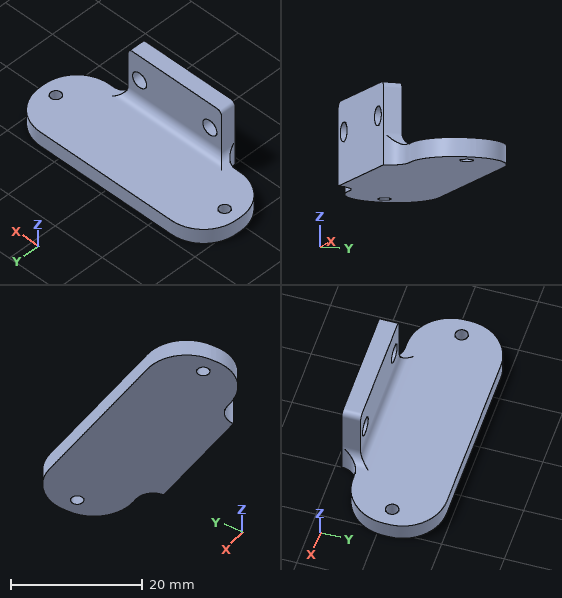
import cadquery as cq

plate_length = 42.0
plate_width = 15.0
plate_thickness = 3.0
plate_corner_radius = 7.0
plate_hole_diameter = 2.0
plate_hole_spacing = 36.0

tab_width = 20.0
tab_thickness = 3.02
tab_height = 13.0
tab_corner_radius = 1.0
tab_hole_diameter = 3.0
tab_hole_spacing = 15.0
tab_hole_height = 8.0

root_radius = 2.0
neck_radius = tab_thickness

tab_back = -plate_width / 2
tab_front = tab_back - tab_thickness
half_tab = tab_width / 2
root_top = plate_thickness + root_radius


def make_plate():
    plate = cq.Workplane("XY").rect(plate_length, plate_width).extrude(plate_thickness)
    return plate.edges("|Z").fillet(plate_corner_radius)


def make_neck(height):
    """Plan area that flares from the tab front into the plate edge."""
    half_neck = half_tab + neck_radius
    inner_edge = tab_back + root_radius
    return (
        cq.Workplane("XY")
        .moveTo(-half_tab, tab_front)
        .lineTo(half_tab, tab_front)
        .radiusArc((half_neck, tab_back), neck_radius)
        .lineTo(half_neck, inner_edge)
        .lineTo(-half_neck, inner_edge)
        .lineTo(-half_neck, tab_back)
        .radiusArc((-half_tab, tab_front), neck_radius)
        .close()
        .extrude(height)
    )


def make_tab():
    tab = (
        cq.Workplane("XY")
        .box(tab_width, tab_thickness, tab_height, centered=(True, False, False))
        .translate((0, tab_front, 0))
    )
    return tab.edges("|Y and >Z").fillet(tab_corner_radius)


def make_root():
    """Flare around the tab foot; crossing two profiles mitres its back corners."""
    half_root = half_tab + root_radius
    side_profile = (
        cq.Workplane("XZ")
        .moveTo(-half_root, 0)
        .lineTo(half_root, 0)
        .lineTo(half_root, plate_thickness)
        .radiusArc((half_tab, root_top), root_radius)
        .lineTo(-half_tab, root_top)
        .radiusArc((-half_root, plate_thickness), root_radius)
        .close()
        .extrude(plate_width, both=True)
    )
    back_profile = (
        cq.Workplane("YZ")
        .moveTo(tab_front, 0)
        .lineTo(tab_back + root_radius, 0)
        .lineTo(tab_back + root_radius, plate_thickness)
        .radiusArc((tab_back, root_top), root_radius)
        .lineTo(tab_front, root_top)
        .close()
        .extrude(plate_length / 2, both=True)
    )
    return side_profile.intersect(back_profile).intersect(make_neck(root_top))


def make_plate_holes():
    return (
        cq.Workplane("XY")
        .rarray(plate_hole_spacing, 0.4, 2, 1)
        .circle(plate_hole_diameter / 2)
        .extrude(plate_thickness)
    )


def make_tab_holes():
    return (
        cq.Workplane("XZ", origin=(0, tab_back, tab_hole_height))
        .rarray(tab_hole_spacing, 0.4, 2, 1)
        .circle(tab_hole_diameter / 2)
        .extrude(tab_thickness)
    )


body = make_plate().union(make_neck(plate_thickness)).union(make_root()).union(make_tab())
result = body.cut(make_plate_holes()).cut(make_tab_holes())